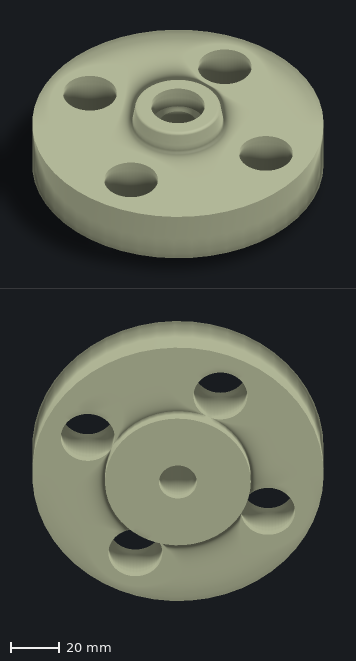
import cadquery as cq
import math

flange_diameter = 120.6
flange_thickness = 22.3
raised_face_diameter = 60.3
raised_face_height = 6.4
hub_height = 9.4
hub_base_diameter = 38.4
hub_taper_angle = 10.0
hub_fillet_radius = 1.5
socket_diameter = 22.3
socket_depth = 9.5
bore_diameter = 15.7
bolt_circle_diameter = 82.5
bolt_hole_diameter = 22.3
bolt_hole_count = 4

hub_top = flange_thickness + hub_height
hub_base_radius = hub_base_diameter / 2
hub_top_radius = hub_base_radius - hub_height * math.tan(math.radians(hub_taper_angle))


def make_flange_body():
    """Raised face, flange disc and tapered hub, revolved as one profile."""
    profile = [
        (0, -raised_face_height),
        (raised_face_diameter / 2, -raised_face_height),
        (raised_face_diameter / 2, 0),
        (flange_diameter / 2, 0),
        (flange_diameter / 2, flange_thickness),
        (hub_base_radius, flange_thickness),
        (hub_top_radius, hub_top),
        (0, hub_top),
    ]
    return cq.Workplane("XZ").polyline(profile).close().revolve(360, (0, 0), (0, 1))


def round_hub(body):
    """Round the rim of the hub and blend its foot into the flange."""
    rim_and_foot = body.faces("%CONE").edges("%CIRCLE")
    return rim_and_foot.fillet(hub_fillet_radius)


def cut_socket_and_bore(body):
    """Open the pipe socket from the hub top and run the bore through the part."""
    body = body.cut(
        cq.Workplane("XY", origin=(0, 0, hub_top)).circle(socket_diameter / 2).extrude(-socket_depth)
    )
    return body.cut(
        cq.Workplane("XY", origin=(0, 0, hub_top))
        .circle(bore_diameter / 2)
        .extrude(-(hub_top + raised_face_height))
    )


def cut_bolt_holes(body):
    """Drill the bolt holes through the flange, evenly spaced from the X axis."""
    holes = (
        cq.Workplane("XY")
        .polarArray(bolt_circle_diameter / 2, 0, 360, bolt_hole_count)
        .circle(bolt_hole_diameter / 2)
        .extrude(flange_thickness)
    )
    return body.cut(holes)


flange = round_hub(make_flange_body())
flange = cut_socket_and_bore(flange)
result = cut_bolt_holes(flange)